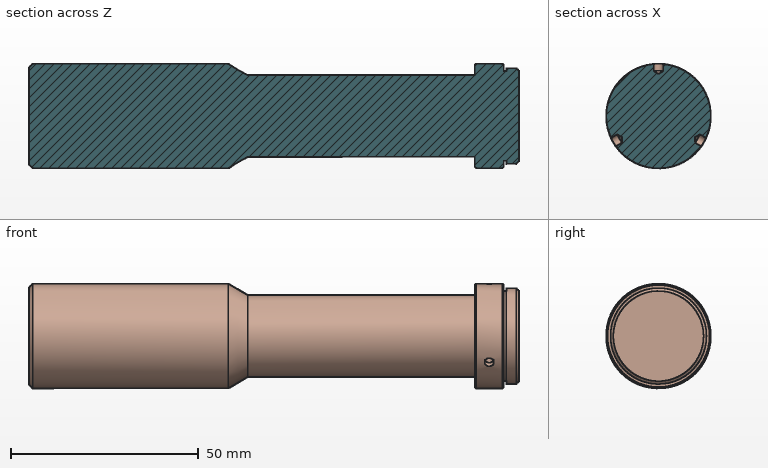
import cadquery as cq
import math

total_length = 130.7
body_length = 53.2
taper_length = 5.1
collar_start = 118.8
collar_length = 7.8
neck_length = 0.7

body_radius = 14.0
tube_radius = 11.0
collar_radius = body_radius
neck_radius = 12.0
flange_radius = 12.8

body_chamfer = 1.0
collar_chamfer = 0.4
flange_chamfer = 0.8

hole_count = 3
hole_radius = 1.24
hole_depth = 2.0
drill_tip_angle = 118.0
first_hole_angle = 90.0

taper_end = body_length + taper_length
collar_end = collar_start + collar_length
collar_middle = collar_start + collar_length / 2
flange_start = collar_end + neck_length
flange_length = total_length - flange_start


def cylinder(start, length, radius):
    """Solid cylinder along +X."""
    return cq.Workplane("YZ", origin=(start, 0, 0)).circle(radius).extrude(length)


def make_handle():
    """Thick body that tapers down to the slender tube."""
    body = cylinder(0, body_length, body_radius).faces("<X").chamfer(body_chamfer)
    taper = cq.Workplane(cq.Solid.makeCone(
        body_radius, tube_radius, taper_length,
        cq.Vector(body_length, 0, 0), cq.Vector(1, 0, 0),
    ))
    tube = cylinder(taper_end, collar_start - taper_end, tube_radius)
    return body.union(taper).union(tube)


def make_head():
    """Collar, narrow neck and end flange."""
    collar = cylinder(collar_start, collar_length, collar_radius).edges().chamfer(collar_chamfer)
    neck = cylinder(collar_end, neck_length, neck_radius)
    flange = cylinder(flange_start, flange_length, flange_radius).faces(">X").chamfer(flange_chamfer)
    return collar.union(neck).union(flange)


def make_screw_hole(angle):
    """Blind drilled hole with a conical bottom, pointing at the axis; angle is measured from +Y to +Z."""
    tip_depth = hole_radius / math.tan(math.radians(drill_tip_angle / 2))
    floor = collar_radius - hole_depth
    profile = [
        (0, floor - tip_depth),
        (hole_radius, floor),
        (hole_radius, collar_radius),
        (0, collar_radius),
    ]
    drill = cq.Workplane("XZ").polyline(profile).close().revolve(360, (0, 0, 0), (0, 1, 0))
    return drill.translate((collar_middle, 0, 0)).rotate((0, 0, 0), (1, 0, 0), angle - 90)


result = make_handle().union(make_head())
for index in range(hole_count):
    result = result.cut(make_screw_hole(first_hole_angle + index * 360 / hole_count))